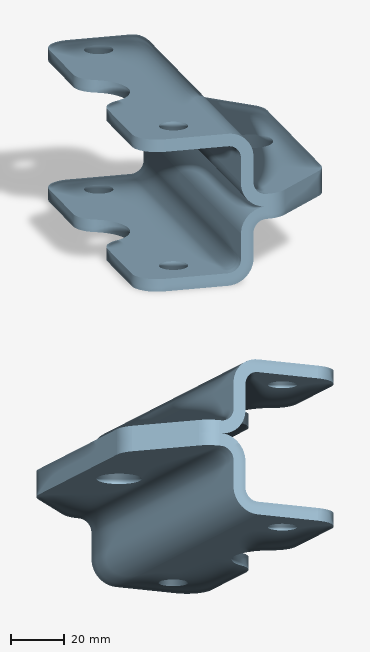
import cadquery as cq
import math

WIDTH = 130.0
DEPTH = 80.0
HALF_HEIGHT = 30.0

THICKNESS = 5.0
INNER_BEND = 5.1
OUTER_BEND = INNER_BEND + THICKNESS
WEB_FRONT = 40.0
WEB_BACK = WEB_FRONT + THICKNESS

CORNER_RADIUS = 10.0
TONGUE_CHAMFER = 25.0
NOTCH_RADIUS = 15.0

TONGUE_HOLE_DIAMETER = 17.0
TONGUE_HOLE_SETBACK = 17.0
FLANGE_HOLE_DIAMETER = 11.0
FLANGE_HOLE_OFFSET = 49.9
FLANGE_HOLE_SETBACK = 18.0


def bent_sheet():
    """Z-shaped sheet: tongue on the contact plane, upright web, raised front flange."""
    tongue_bend_y = WEB_FRONT + OUTER_BEND
    flange_bend_y = WEB_BACK - OUTER_BEND
    tongue_bend_z = OUTER_BEND
    flange_bend_z = HALF_HEIGHT - OUTER_BEND
    flange_bottom = HALF_HEIGHT - THICKNESS
    diagonal = math.sqrt(0.5)
    outer_mid = OUTER_BEND * diagonal
    inner_mid = INNER_BEND * diagonal

    return (
        cq.Workplane("YZ")
        .workplane(offset=-WIDTH / 2)
        .moveTo(DEPTH, 0)
        .lineTo(tongue_bend_y, 0)
        .threePointArc(
            (tongue_bend_y - outer_mid, tongue_bend_z - outer_mid), (WEB_FRONT, tongue_bend_z)
        )
        .lineTo(WEB_FRONT, flange_bend_z)
        .threePointArc(
            (flange_bend_y + inner_mid, flange_bend_z + inner_mid), (flange_bend_y, flange_bottom)
        )
        .lineTo(0, flange_bottom)
        .lineTo(0, HALF_HEIGHT)
        .lineTo(flange_bend_y, HALF_HEIGHT)
        .threePointArc(
            (flange_bend_y + outer_mid, flange_bend_z + outer_mid), (WEB_BACK, flange_bend_z)
        )
        .lineTo(WEB_BACK, tongue_bend_z)
        .threePointArc(
            (tongue_bend_y - inner_mid, tongue_bend_z - inner_mid), (tongue_bend_y, THICKNESS)
        )
        .lineTo(DEPTH, THICKNESS)
        .close()
        .extrude(WIDTH)
    )


def plan_outline():
    """Prism with the plan shape: chamfered back, rounded front and a central notch."""
    half_width = WIDTH / 2
    chamfer_x = half_width - TONGUE_CHAMFER
    chamfer_y = DEPTH - TONGUE_CHAMFER
    return (
        cq.Workplane("XY")
        .moveTo(NOTCH_RADIUS, 0)
        .lineTo(half_width, 0)
        .lineTo(half_width, chamfer_y)
        .lineTo(chamfer_x, DEPTH)
        .lineTo(-chamfer_x, DEPTH)
        .lineTo(-half_width, chamfer_y)
        .lineTo(-half_width, 0)
        .lineTo(-NOTCH_RADIUS, 0)
        .threePointArc((0, NOTCH_RADIUS), (NOTCH_RADIUS, 0))
        .close()
        .extrude(HALF_HEIGHT)
        .edges("|Z")
        .fillet(CORNER_RADIUS)
    )


def hole_cutters():
    """Vertical cylinders for the tongue hole and the two flange holes."""
    tongue_hole = (
        cq.Workplane("XY")
        .center(0, DEPTH - TONGUE_HOLE_SETBACK)
        .circle(TONGUE_HOLE_DIAMETER / 2)
        .extrude(HALF_HEIGHT)
    )
    flange_holes = (
        cq.Workplane("XY")
        .pushPoints([(side * FLANGE_HOLE_OFFSET, FLANGE_HOLE_SETBACK) for side in (-1, 1)])
        .circle(FLANGE_HOLE_DIAMETER / 2)
        .extrude(HALF_HEIGHT)
    )
    return tongue_hole.union(flange_holes)


def bracket_half():
    """Upper bracket half, with its tongue lying on the contact plane."""
    return bent_sheet().intersect(plan_outline()).cut(hole_cutters())


bracket_halves = []
for turn in (0, 180):
    half = bracket_half().rotate((0, 0, 0), (0, 1, 0), turn)
    bracket_halves.append(half.solids().val())

result = cq.Compound.makeCompound(bracket_halves)